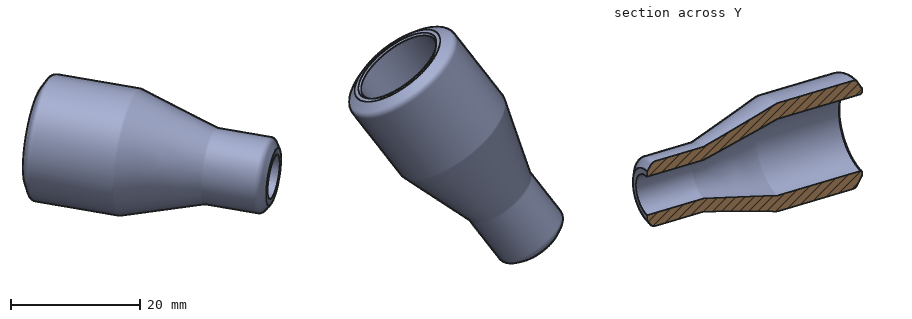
import cadquery as cq
import math

length = 38.0
body_end = 15.0
cone_end = 28.0

body_radius = 20.0 / 2
spigot_radius = 12.0 / 2

mouth_bevel_length = 1.15
mouth_bevel_drop = 2.0
tip_bevel_length = 1.0
tip_bevel_drop = 1.5
blend_radius = 1.0

socket_radius = 14.0 / 2
lead_in = 0.3
passage_radius = 7.0 / 2


def toward(start, end, distance):
    """Point at the given distance from start on the line to end."""
    fraction = distance / math.dist(start, end)
    return (
        start[0] + (end[0] - start[0]) * fraction,
        start[1] + (end[1] - start[1]) * fraction,
    )


def rounded_corner(before, corner, after, radius):
    """Start, middle and end of the arc tangent to both sides of a corner."""
    angle_in = math.atan2(corner[1] - before[1], corner[0] - before[0])
    angle_out = math.atan2(after[1] - corner[1], after[0] - corner[0])
    half_turn = abs(angle_out - angle_in) / 2
    setback = radius * math.tan(half_turn)
    start = toward(corner, before, setback)
    end = toward(corner, after, setback)
    chord_middle = ((start[0] + end[0]) / 2, (start[1] + end[1]) / 2)
    rise = radius * (1 - math.cos(half_turn))
    return start, toward(chord_middle, corner, rise), end


outer_outline = [
    (0, body_radius - mouth_bevel_drop),
    (mouth_bevel_length, body_radius),
    (body_end, body_radius),
    (cone_end, spigot_radius),
    (length - tip_bevel_length, spigot_radius),
    (length, spigot_radius - tip_bevel_drop),
]

bore_outline = [
    (length, passage_radius),
    (cone_end, passage_radius),
    (body_end, socket_radius),
    (lead_in, socket_radius),
    (0, socket_radius + lead_in),
]

section = cq.Workplane("XY").moveTo(*outer_outline[0])
for before, corner, after in zip(outer_outline, outer_outline[1:], outer_outline[2:]):
    start, middle, end = rounded_corner(before, corner, after, blend_radius)
    section = section.lineTo(*start).threePointArc(middle, end)
section = section.lineTo(*outer_outline[-1])
for point in bore_outline:
    section = section.lineTo(*point)

result = section.close().revolve(360, (0, 0, 0), (1, 0, 0))